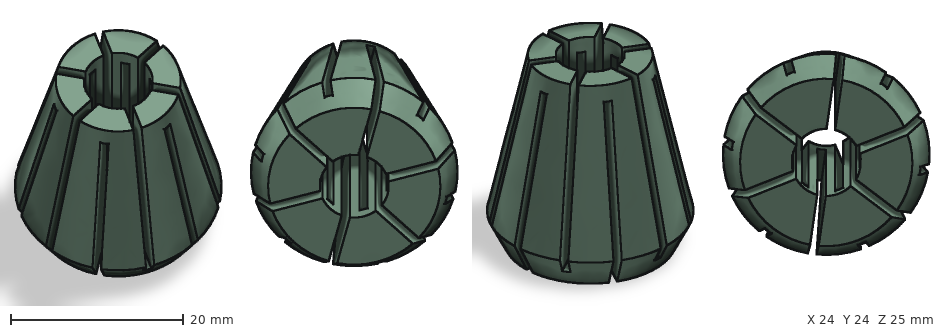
import cadquery as cq

height = 25.0
max_diameter = 24.0
top_diameter = 14.5
bottom_diameter = 20.0
bore_diameter = 8.0
shoulder_height = 4.0

slot_width = 1.0
end_web = 2.0
slots_per_set = 6
slot_pitch = 360.0 / slots_per_set
slot_height = height - end_web


def make_body():
    """Revolve half of the cross-section, with the bore already open."""
    bore_radius = bore_diameter / 2
    return (
        cq.Workplane("XZ")
        .moveTo(bore_radius, 0)
        .lineTo(bottom_diameter / 2, 0)
        .lineTo(max_diameter / 2, shoulder_height)
        .lineTo(top_diameter / 2, height)
        .lineTo(bore_radius, height)
        .close()
        .revolve(360, (0, 0, 0), (0, 1, 0))
    )


def cut_slots(body, base_z, first_angle):
    """Cut a ring of radial slots from the bore to the outside."""
    slot_length = max_diameter / 2
    slot = cq.Workplane("XY").box(
        slot_length, slot_width, slot_height, centered=(False, True, False)
    ).translate((0, 0, base_z))
    for index in range(slots_per_set):
        angle = first_angle + index * slot_pitch
        body = body.cut(slot.rotate((0, 0, 0), (0, 0, 1), angle))
    return body


result = make_body()
result = cut_slots(result, 0, 0)
result = cut_slots(result, end_web, slot_pitch / 2)